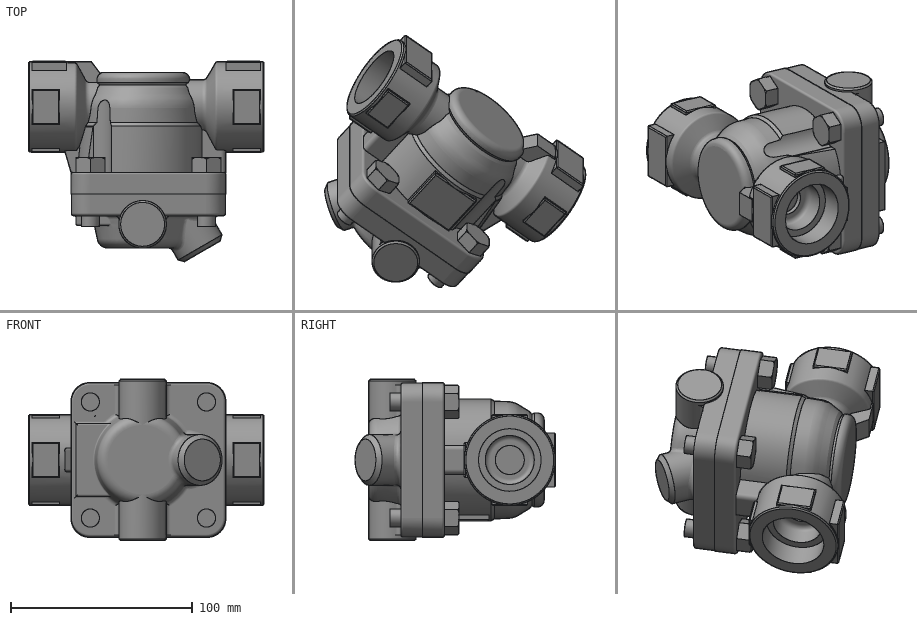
import cadquery as cq
import math


seam_samples = (0.3, 0.5, 0.7)
seam_gap = 0.001

pipe_half_length = 65.0
hub_radius = 25.0
hub_inner_x = 38.5
neck_x = 32.7
neck_radius = 15.0
hub_edge = 0.8
hub_back_fillet = 1.5
neck_fillet = 2.5
socket_radius = 34.5 / 2
socket_depth = 13.0
bore_radius = 27.0 / 2
bore_depth = 24.0
bore_floor_fillet = 2.8
core_radius = 16.0 / 2
core_depth = 3.0

flat_offset = 25.2
flat_end_gap = 2.0
flat_length = 15.3
flat_width = 19.4
back_flat_length = 19.0
back_flat_width = 30.0
flat_edge = 0.7

chamber_x = -2.0
cap_y = 19.0
cap_radius = 26.0
cap_fillet = 4.0
cap_base_y = 13.6
groove_radius = 25.2
groove_y = 12.2
flare_start = (27.0, 10.6)
flare_end = (29.3, 6.7)
shoulder_mid = (31.3, 3.2)
shoulder_end = (32.2, -0.7)
barrel_top = (32.5, -8.5)
skirt_radius = 33.7
skirt_y = -10.5

flange_x = 1.2
flange_size = 85.4
cover_size = 85.0
flange_corner = 10.5
flange_back_y = -36.0
parting_y = -48.0
cover_front_y = -60.0
flange_edge = 1.3

bolt_pitch = 64.0
bolt_radius = 10.0 / 2
bolt_end_y = -66.0
head_sides = 6
head_flats = 16.0
head_height = 8.0
head_edge = 0.7
scallop_radius = 12.0

passage_radius = 36.8
passage_top_radius = 33.9
passage_half_width = 20.0
passage_top_y = -11.0

skirt_plate_half_width = 14.5
skirt_plate_end_y = -11.5
skirt_plate_edge = 0.8

rib_half_width = 6.6
rib_overlap = 2.5
front_rib_hub_x = -45.5
rib_edge = 1.4
outlet_rib_edge = 2.6
outlet_rib_half_width = 8.0
back_rib_x = -30.3
back_rib_foot = (-25.0, 18.0)
back_rib_start_x = -43.0

dome_end_y = -77.8
dome_root_radius = 27.7
dome_end_radius = 24.0
dome_end_fillet = 6.0
cover_blend = 2.5
boss_radius = 26.2 / 2
boss_length = 89.0
boss_y = dome_end_y + boss_radius
boss_edge = 1.0
side_pad_x = -38.8
side_pad_half_width = 20.2
side_pad_height = 5.4
side_pad_edge = 1.1
side_pad_blend = 0.8
plug_radius = 28.0 / 2
plug_end_radius = 23.0 / 2
plug_angle = 30.0
plug_end_x = 30.9
plug_end_y = -79.58
plug_length = 28.0


def box(x_range, y_range, z_half):
    """Axis-aligned block, symmetric about Z = 0."""
    size_x = x_range[1] - x_range[0]
    size_y = y_range[1] - y_range[0]
    block = cq.Workplane("XY").box(size_x, size_y, 2 * z_half)
    return block.translate((sum(x_range) / 2, sum(y_range) / 2, 0))


def rib(outline, half_width):
    """Flat rib with an outline in the XY plane, symmetric about Z = 0."""
    return cq.Workplane("XY").polyline(outline).close().extrude(half_width, both=True)


def y_cylinder(x, z, radius, y_from, y_to):
    """Cylinder along Y between two Y stations."""
    low, high = min(y_from, y_to), max(y_from, y_to)
    plane = cq.Workplane("XZ", origin=(x, high, z))
    return plane.circle(radius).extrude(high - low)


def lies_on(edge, body):
    """True when sample points of the edge all lie on the surface of the body."""
    samples = [cq.Vertex.makeVertex(*edge.positionAt(share).toTuple()) for share in seam_samples]
    return all(min(face.distance(point) for face in body.faces().vals()) < seam_gap for point in samples)


def join_with_blend(body, addition, radius):
    """Union of two bodies with a fillet along the seam where their surfaces meet."""
    joined = body.union(addition)
    seam = [edge for edge in joined.edges().vals() if lies_on(edge, body) and lies_on(edge, addition)]
    return cq.Workplane(joined.val().fillet(radius, seam))


def ring_at(x):
    """Circular edges lying at one X station of a body turned about the X axis."""
    margin = 0.01
    reach = 2 * hub_radius
    return cq.selectors.BoxSelector(
        (x - margin, -reach, -reach), (x + margin, reach, reach), boundingbox=True
    )


def bolt_centres():
    half = bolt_pitch / 2
    return [(flange_x + sx * half, sz * half) for sx in (-1, 1) for sz in (-1, 1)]


def make_chamber():
    profile = (
        cq.Workplane("XY")
        .moveTo(0, cap_y)
        .lineTo(cap_radius - cap_fillet, cap_y)
        .radiusArc((cap_radius, cap_y - cap_fillet), cap_fillet)
        .lineTo(cap_radius, cap_base_y)
        .lineTo(groove_radius, groove_y)
        .lineTo(*flare_start)
        .lineTo(*flare_end)
        .threePointArc(shoulder_mid, shoulder_end)
        .lineTo(*barrel_top)
        .lineTo(skirt_radius, skirt_y)
        .lineTo(skirt_radius, flange_back_y)
        .lineTo(0, flange_back_y)
        .close()
    )
    return profile.revolve(360, (0, 0), (0, 1)).translate((chamber_x, 0, 0))


def make_passage():
    """Conical bulge on the inlet side, coaxial with the chamber and widening to the flange."""
    height = passage_top_y - flange_back_y
    draft = math.degrees(math.atan2(passage_radius - passage_top_radius, height))
    cone = (
        cq.Workplane("XZ", origin=(chamber_x, flange_back_y, 0))
        .circle(passage_radius)
        .extrude(-height, taper=draft)
    )
    inlet_side = box((chamber_x - passage_radius, chamber_x), (flange_back_y, cap_y), passage_half_width)
    return cone.intersect(inlet_side)


def make_skirt_plate():
    width = 2 * skirt_plate_half_width
    length = skirt_plate_end_y - flange_back_y
    plate_block = cq.Workplane("XY").box(width, length, skirt_radius, centered=(True, False, False))
    plate_block = plate_block.translate((chamber_x, flange_back_y, -skirt_radius))
    return plate_block.faces("<Z").edges().chamfer(skirt_plate_edge)


def cut_scallops(body):
    """Clear the body around the bolt heads with grooves along the bolt axes."""
    for x, z in bolt_centres():
        body = body.cut(y_cylinder(x, z, scallop_radius, flange_back_y, cap_y))
    return body


def make_outlet():
    """Outlet hub, neck and wrench flats, along +X."""
    hub = (
        cq.Workplane("XY")
        .moveTo(chamber_x, 0)
        .lineTo(chamber_x, neck_radius)
        .lineTo(neck_x, neck_radius)
        .lineTo(hub_inner_x, hub_radius)
        .lineTo(pipe_half_length, hub_radius)
        .lineTo(pipe_half_length, 0)
        .close()
        .revolve(360, (0, 0), (1, 0))
    )
    hub = hub.faces(">X").edges().chamfer(hub_edge)
    hub = hub.edges(ring_at(hub_inner_x)).fillet(hub_back_fillet)
    hub = hub.edges(ring_at(neck_x)).fillet(neck_fillet)
    outer_x = pipe_half_length - flat_end_gap
    side_flat = box((outer_x - flat_length, outer_x), (-flat_offset, 0), flat_width / 2)
    side_flat = side_flat.faces("<Y").edges().chamfer(flat_edge)
    back_flat = box((outer_x - back_flat_length, outer_x), (0, flat_offset), back_flat_width / 2)
    back_flat = back_flat.faces(">Y").edges().chamfer(flat_edge)
    hub = hub.union(back_flat)
    for turn in (-90, 0, 90):
        hub = hub.union(side_flat.rotate((0, 0, 0), (1, 0, 0), turn))
    return hub


def make_pipe_bore():
    """Stepped blind bore of the outlet hub, along +X."""
    depths = ((socket_radius, socket_depth), (bore_radius, bore_depth))
    socket, bore = [
        cq.Workplane("YZ", origin=(pipe_half_length, 0, 0)).circle(radius).extrude(-depth)
        for radius, depth in depths
    ]
    bore = bore.faces("<X").edges().fillet(bore_floor_fillet)
    core = (
        cq.Workplane("YZ", origin=(pipe_half_length - bore_depth, 0, 0))
        .circle(core_radius)
        .extrude(-core_depth)
    )
    return socket.union(bore).union(core)


def make_ribs():
    flange_half = flange_size / 2
    front_rib = rib(
        [
            (front_rib_hub_x, -hub_radius + rib_overlap),
            (flange_x - flange_half, flange_back_y),
            (chamber_x, flange_back_y),
            (chamber_x, -hub_radius + rib_overlap),
        ],
        rib_half_width,
    )
    front_rib = front_rib.faces("<X").edges("not |Z").fillet(rib_edge)
    outlet_rib = rib(
        [
            (chamber_x, skirt_y),
            (neck_x, skirt_y),
            (hub_inner_x, -hub_radius + rib_overlap),
            (flange_x + flange_half, -hub_radius + rib_overlap),
            (flange_x + flange_half, flange_back_y),
            (chamber_x, flange_back_y),
        ],
        outlet_rib_half_width,
    )
    outlet_rib = outlet_rib.faces(">X").edges("|Y").fillet(outlet_rib_edge)
    back_rib = rib(
        [
            (back_rib_start_x, 0),
            (back_rib_start_x, hub_radius),
            (back_rib_x, hub_radius),
            back_rib_foot,
            (back_rib_foot[0], 0),
        ],
        rib_half_width,
    )
    return front_rib.union(outlet_rib).union(back_rib)


def plate(size, y_from, y_to):
    """Square plate with rounded corners, running from y_from down to y_to."""
    sketch = cq.Workplane("XZ", origin=(flange_x, y_from, 0)).rect(size, size)
    return sketch.extrude(y_from - y_to).edges("|Y").fillet(flange_corner)


def make_flange():
    return plate(flange_size, flange_back_y, parting_y).faces(">Y").edges().fillet(flange_edge)


def make_bolts():
    """Four hex bolts: heads on the flange back, shank ends standing out of the cover."""
    bolts = cq.Workplane("XY")
    across_corners = head_flats / math.cos(math.pi / head_sides)
    for x, z in bolt_centres():
        head = (
            cq.Workplane("XZ", origin=(x, flange_back_y + head_height, z))
            .transformed(rotate=(0, 0, 90))
            .polygon(head_sides, across_corners)
            .extrude(head_height)
        )
        crown = y_cylinder(x, z, across_corners / 2, flange_back_y + head_height, flange_back_y)
        head = head.intersect(crown.faces(">Y").edges().chamfer(head_edge))
        shank = y_cylinder(x, z, bolt_radius, flange_back_y, bolt_end_y)
        bolts = bolts.add(head.union(shank))
    return bolts.combine()


def make_dome():
    profile = (
        cq.Workplane("XY")
        .moveTo(0, parting_y)
        .lineTo(dome_root_radius, parting_y)
        .lineTo(dome_root_radius, cover_front_y)
        .lineTo(dome_end_radius, dome_end_y)
        .lineTo(0, dome_end_y)
        .close()
    )
    dome = profile.revolve(360, (0, 0), (0, 1))
    dome = dome.faces("<Y").edges().fillet(dome_end_fillet)
    return dome.translate((chamber_x, 0, 0))


def make_boss_blend():
    """Concave blends along both sides of the cross boss, where it leaves the cover plate."""
    blend_y = cover_front_y - cover_blend
    blend_x = math.sqrt((boss_radius + cover_blend) ** 2 - (blend_y - boss_y) ** 2)
    share = boss_radius / (boss_radius + cover_blend)
    touch_x, touch_y = blend_x * share, boss_y + (blend_y - boss_y) * share
    section = (
        cq.Workplane("XY")
        .moveTo(-blend_x, cover_front_y)
        .radiusArc((-touch_x, touch_y), cover_blend)
        .lineTo(touch_x, touch_y)
        .radiusArc((blend_x, cover_front_y), cover_blend)
        .close()
    )
    half_length = cover_size / 2 - flange_edge
    return section.extrude(half_length, both=True).translate((chamber_x, 0, 0))


def make_boss():
    boss = (
        cq.Workplane("XY", origin=(chamber_x, boss_y, -boss_length / 2))
        .circle(boss_radius)
        .extrude(boss_length)
    )
    return boss.faces("|Z").edges().chamfer(boss_edge)


def make_side_pad():
    pad = box(
        (side_pad_x, chamber_x),
        (cover_front_y - side_pad_height, parting_y),
        side_pad_half_width,
    )
    return pad.faces("<Y").edges("<X or |X").fillet(side_pad_edge)


def make_plug():
    """Strainer plug, leaning from -Y towards +X."""
    lean = math.radians(plug_angle)
    outward = cq.Vector(math.sin(lean), -math.cos(lean), 0)
    tip = cq.Vector(plug_end_x, plug_end_y, 0)
    plane = cq.Plane(origin=tip, xDir=(0, 0, 1), normal=outward)
    plug = cq.Workplane(plane).circle(plug_radius).extrude(-plug_length)
    end_face = plug.faces(cq.selectors.DirectionMinMaxSelector(outward))
    return end_face.edges().chamfer(plug_radius - plug_end_radius)


def make_cover():
    cover = plate(cover_size, parting_y, cover_front_y).faces("<Y").edges().fillet(flange_edge)
    cover = join_with_blend(cover, make_dome(), cover_blend)
    cover = join_with_blend(cover, make_plug(), cover_blend)
    cover = join_with_blend(cover, make_side_pad(), side_pad_blend)
    return cover.union(make_boss_blend()).union(make_boss())


outlet = make_outlet()
bore = make_pipe_bore()
body = cut_scallops(make_chamber().union(make_passage()).union(make_skirt_plate()))
body = body.union(outlet).union(outlet.mirror("YZ")).union(make_ribs())
body = body.cut(bore).cut(bore.mirror("YZ"))
result = body.union(make_flange()).union(make_cover()).union(make_bolts())